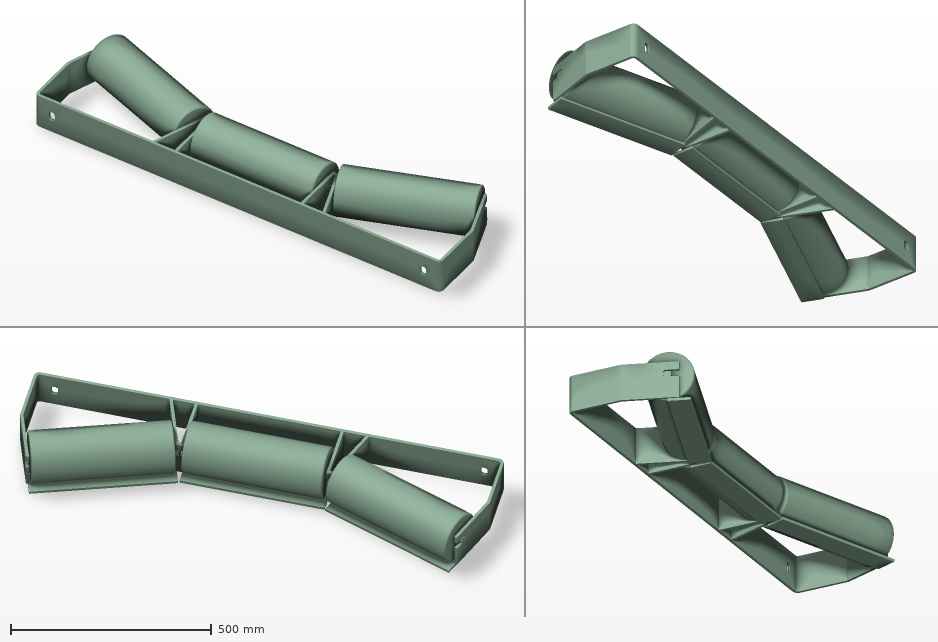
import cadquery as cq
import math



frame_length = 1210.0
strip_height = 98.0
strip_thickness = 8.0
bend_radius = 15.0
bracket_top = 154.0
arm_end = 29.0

hole_width = 18.0
hole_height = 27.0
hole_rounding = 7.0
hole_x = 553.0

tilt = 20.0
middle_y = 125.0
wing_x = 385.0
wing_y = 195.0
left_bay = (-wing_x, wing_y, -tilt)
middle_bay = (0.0, middle_y, 0.0)
right_bay = (wing_x, wing_y, tilt)
bays = [left_bay, middle_bay, right_bay]

roller_radius = 67.0
roller_length = 360.0
roller_rounding = 4.2
axle_z = 65.0
axle_radius = 10.0
axle_height = 15.0
foot_length = 374.0
foot_width = 58.0
foot_thickness = 7.0

support_inner = 184.0
support_outer = support_inner + strip_thickness

slot_width = 18.0
slot_rounding = 3.0
slot_reach = 46.0

sin_tilt = math.sin(math.radians(tilt))
cos_tilt = math.cos(math.radians(tilt))


def place(body, bay):
    """Move a body from the axes of a bay (X along the axle) to its place in the part."""
    x, y, angle = bay
    return body.rotate((0, 0, 0), (0, 0, 1), angle).translate((x, y, 0))


def left_bay_point(along, across):
    """Plan position of a point given in the axes of the left bay."""
    x = -wing_x + along * cos_tilt + across * sin_tilt
    y = wing_y - along * sin_tilt + across * cos_tilt
    return (x, y)


def left_wall_at_x(along, x):
    """Point at a given x on a plane across the left axle."""
    across = (x + wing_x - along * cos_tilt) / sin_tilt
    return left_bay_point(along, across)


def left_wall_at_y(along, y):
    """Point at a given y on a plane across the left axle."""
    across = (y - wing_y + along * sin_tilt) / cos_tilt
    return left_bay_point(along, across)


def mirrored(points):
    """The same outline points on the other side of X = 0, in reverse order."""
    return [(-x, y) for x, y in reversed(points)]


def axle_slots(bay):
    """Cutter for the open slots in both support walls of a bay; the axle rests on their floor."""
    slot = (
        cq.Workplane("XY")
        .box(2 * support_outer, slot_reach, slot_width, centered=(True, False, False))
        .edges("|X and <Y")
        .fillet(slot_rounding)
        .translate((0, -axle_radius, axle_z - axle_height / 2))
    )
    return place(slot, bay)


def make_frame():
    """Bent strip with a long wall, two short end walls and two tilted arms."""
    outer_x = -frame_length / 2
    inner_x = outer_x + strip_thickness
    outer_half = [
        left_bay_point(-support_outer, arm_end),
        left_wall_at_x(-support_outer, outer_x),
        (outer_x, 0.0),
    ]
    inner_half = [
        (inner_x, strip_thickness),
        left_wall_at_x(-support_inner, inner_x),
        left_bay_point(-support_inner, arm_end),
    ]
    outline = outer_half + mirrored(outer_half) + mirrored(inner_half) + inner_half
    frame = cq.Workplane("XY").polyline(outline).close().extrude(strip_height)

    outer_bends = outer_half[1:]
    inner_bends = inner_half[:2]
    for bends, radius in ((outer_bends, bend_radius), (inner_bends, bend_radius - strip_thickness)):
        for x, y in bends + mirrored(bends):
            bend_edge = cq.NearestToPointSelector((x, y, strip_height / 2))
            frame = frame.edges("|Z").edges(bend_edge).fillet(radius)

    holes = (
        cq.Workplane("XZ")
        .pushPoints([(-hole_x, strip_height / 2), (hole_x, strip_height / 2)])
        .rect(hole_width, hole_height)
        .extrude(-strip_thickness)
        .edges("|Y")
        .fillet(hole_rounding)
    )
    return frame.cut(holes).cut(axle_slots(left_bay)).cut(axle_slots(right_bay))


def make_left_bracket():
    """Hat-shaped strip with a tilted wall, a short crossbar and a straight wall."""
    foot_y = strip_thickness
    crossbar_inner = bracket_top - strip_thickness
    outline = [
        left_wall_at_y(support_inner, foot_y),
        left_wall_at_y(support_inner, bracket_top),
        (-support_inner, bracket_top),
        (-support_inner, foot_y),
        (-support_outer, foot_y),
        (-support_outer, crossbar_inner),
        left_wall_at_y(support_outer, crossbar_inner),
        left_wall_at_y(support_outer, foot_y),
    ]
    bracket = cq.Workplane("XY").polyline(outline).close().extrude(strip_height)
    return bracket.cut(axle_slots(left_bay)).cut(axle_slots(middle_bay))


def make_roller(bay):
    """Roller with a foot plate under its rear half and a flatted axle, flush with both support walls."""
    drum = cq.Workplane("YZ").circle(roller_radius).extrude(roller_length / 2, both=True)
    drum = drum.edges().fillet(roller_rounding)
    axle = cq.Workplane("YZ").circle(axle_radius).extrude(support_outer, both=True)
    flats = cq.Workplane("XY").box(2 * support_outer, 2 * axle_radius, axle_height)
    roller = drum.union(axle.intersect(flats)).translate((0, 0, axle_z))

    foot = (
        cq.Workplane("XY")
        .box(foot_length, foot_width, foot_thickness, centered=(True, False, False))
        .translate((0, 0, -foot_thickness))
    )
    return place(roller.union(foot), bay)


frame = make_frame()
left_bracket = make_left_bracket()
right_bracket = left_bracket.mirror("YZ")
rollers = [make_roller(bay) for bay in bays]

result = cq.Compound.makeCompound(
    [frame.val(), left_bracket.val(), right_bracket.val(), *[roller.val() for roller in rollers]]
)